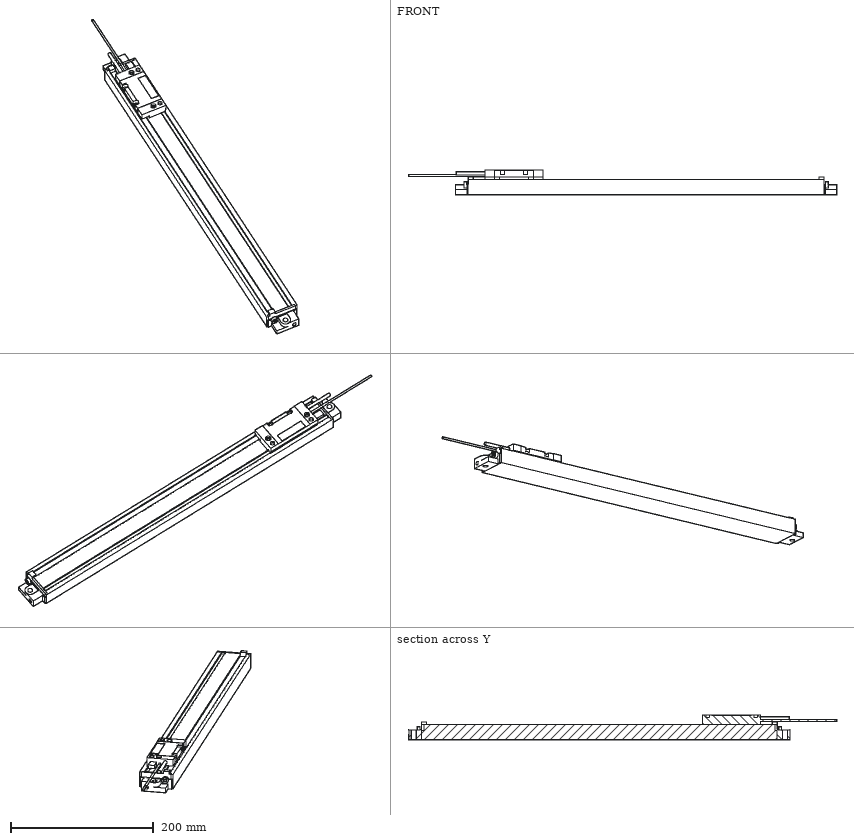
import cadquery as cq

total_length = 600.0
foot_start = 65.5
rail_start = 83.5
rail_mid = (foot_start + total_length) / 2
rail_end = 2 * rail_mid - rail_start

rail_width = 48.0
rail_height = 21.5
groove_depth = 2.5
front_groove = (-18.5, -10.0)
back_groove = (12.0, 17.5)

flange_thickness = 2.0
flange_width = 47.0
flange_chamfer = 1.0
foot_width = 35.0
foot_low_height = 7.0
foot_high_height = 14.5
boss_radius = 7.0
boss_height = 14.0
mount_hole_diameter = 6.5
tab_length = 3.0
tab_width = 42.0
tab_depth = 8.5
bump_length = 7.0
bump_top = 25.0
screw_diameter = 9.0
screw_length = 4.0
screw_y = -14.0
screw_z = 14.0
socket_diameter = 4.0
socket_depth = 2.0
port_diameter = 5.5
port_depth = 6.0
port_y = 10.0
port_z = 6.0

carriage_start = 107.0
carriage_end = 188.5
carriage_mid = (carriage_start + carriage_end) / 2
carriage_width = 38.0
carriage_top = 35.0
carriage_bottom = 25.0
end_block_length = 13.0
middle_relief = 0.3
slide_y = (-7.0, 18.5)
slide_relief = 2.0
window_length = 41.0
window_depth = 0.5
label_y = (6.5, 18.0)
ledge_width = 6.0
notch_width = 6.0
notch_depth = 6.5
notch_spacing = 32.5
notch_y = -15.0
bolt_hole_inset = 7.0
plain_hole_y = 13.0
plain_hole_diameter = 6.0
plain_hole_depth = 3.5
bolt_hole_y = 3.0
bolt_hole_diameter = 3.5
bolt_head_diameter = 7.0
bolt_head_depth = 3.5

cable_diameter = 3.0
cable_y = 0.0
cable_z = 27.0
sleeve_start = 66.5
sleeve_diameter = 5.0
sleeve_y = -8.0
sleeve_z = 30.0
terminal_length = 14.5
terminal_y = (5.0, 14.0)
terminal_z = (24.5, 29.5)


def block(x_range, y_range, z_range):
    """Box between two corners given as ranges along X, Y and Z."""
    size = [high - low for low, high in (x_range, y_range, z_range)]
    corner = (x_range[0], y_range[0], z_range[0])
    return cq.Workplane("XY").box(*size, centered=False).translate(corner)


def centred(width):
    """Range of the given width about zero."""
    return (-width / 2, width / 2)


def rod(x_start, x_end, y, z, diameter):
    """Round bar parallel to X."""
    plane = cq.Workplane("YZ", origin=(x_start, y, z))
    return plane.circle(diameter / 2).extrude(x_end - x_start)


def mirrored_to_far_end(body):
    return body.mirror("YZ", (rail_mid, 0, 0))


def cap_tab():
    """Tab of the near cap that lies in a recess at the top of the rail."""
    return block(
        (rail_start, rail_start + tab_length),
        centred(tab_width),
        (rail_height - tab_depth, rail_height),
    )


def make_rail():
    rail = block((rail_start, rail_end), centred(rail_width), (0, rail_height))
    for groove in (front_groove, back_groove):
        rail = rail.cut(
            block((rail_start, rail_end), groove, (rail_height - groove_depth, rail_height))
        )
    return rail.cut(cap_tab()).cut(mirrored_to_far_end(cap_tab()))


def make_foot():
    """Foot with a low front half, a high back half and a boss around the mounting hole."""
    hole_x = foot_start + boss_radius
    x_range = (foot_start, rail_start)
    plate = block(x_range, centred(foot_width), (0, foot_low_height))
    back_half = block(x_range, (0, foot_width / 2), (0, foot_high_height))
    boss = block((hole_x, rail_start), centred(2 * boss_radius), (0, boss_height))
    hole_axis = cq.Workplane("XY").center(hole_x, 0)
    boss = boss.union(hole_axis.circle(boss_radius).extrude(boss_height))
    above_boss = boss.translate((0, 0, boss_height))
    hole = hole_axis.circle(mount_hole_diameter / 2).extrude(foot_high_height)
    return plate.union(back_half).union(boss).cut(above_boss).cut(hole)


def make_cap():
    """Cap at the cable end of the rail."""
    flange_start = rail_start - flange_thickness
    flange = block((flange_start, rail_start), centred(flange_width), (0, foot_high_height))
    flange = flange.edges("<X and |Z").chamfer(flange_chamfer)
    bump = block(
        (rail_start, rail_start + bump_length),
        front_groove,
        (rail_height - groove_depth, bump_top),
    )
    screw_start = flange_start - screw_length
    screw = rod(screw_start, flange_start, screw_y, screw_z, screw_diameter)
    socket = rod(screw_start, screw_start + socket_depth, screw_y, screw_z, socket_diameter)
    port = rod(foot_start, foot_start + port_depth, port_y, port_z, port_diameter)
    cap = flange.union(make_foot()).union(cap_tab()).union(bump)
    return cap.union(screw).cut(socket).cut(port)


def make_carriage_body():
    x_range = (carriage_start, carriage_end)
    body = block(x_range, centred(carriage_width), (carriage_bottom, carriage_top))
    slide = block(x_range, slide_y, (rail_height, carriage_bottom))
    return body.union(slide).cut(middle_clearance()).cut(slide_gaps())


def middle_clearance():
    """Thin slice off the top and front that sets the middle back from the end blocks."""
    x_range = (carriage_start + end_block_length, carriage_end - end_block_length)
    front_face = -carriage_width / 2
    top_slice = block(x_range, centred(carriage_width), (carriage_top - middle_relief, carriage_top))
    front_slice = block(x_range, (front_face, front_face + middle_relief), (carriage_bottom, carriage_top))
    return top_slice.union(front_slice)


def slide_gaps():
    """Reliefs in the front of the slide, between its ends and its middle pad."""
    near_gap = block(
        (carriage_start + end_block_length, carriage_mid - window_length / 2),
        (slide_y[0], slide_y[0] + slide_relief),
        (rail_height, carriage_bottom),
    )
    return near_gap.union(near_gap.mirror("YZ", (carriage_mid, 0, 0)))


def carriage_recesses():
    """Shallow label recess at the back of the top and shallow ledge at its front."""
    x_range = (carriage_mid - window_length / 2, carriage_mid + window_length / 2)
    front_face = -carriage_width / 2
    z_range = (carriage_top - middle_relief - window_depth, carriage_top)
    label = block(x_range, label_y, z_range)
    ledge = block(x_range, (front_face, front_face + ledge_width), z_range)
    return label.union(ledge)


def clamp_notches():
    """Two round-ended notches open to the front and the top."""
    notches = cq.Workplane("XY")
    z_range = (carriage_top - notch_depth, carriage_top)
    for side in (-1, 1):
        x = carriage_mid + side * notch_spacing / 2
        opening = block(
            (x - notch_width / 2, x + notch_width / 2), (-carriage_width / 2, notch_y), z_range
        )
        floor = cq.Workplane("XY", origin=(x, notch_y, z_range[0]))
        round_end = floor.circle(notch_width / 2).extrude(notch_depth)
        notches = notches.add(opening.union(round_end))
    return notches.combine()


def cut_end_block_holes(carriage):
    """Blind hole and counterbored through hole in each end block."""
    top = cq.Workplane("XY", origin=(0, 0, carriage_top))
    through_depth = carriage_top - rail_height
    for x in (carriage_start + bolt_hole_inset, carriage_end - bolt_hole_inset):
        plain_axis = top.center(x, plain_hole_y)
        carriage = carriage.cut(plain_axis.circle(plain_hole_diameter / 2).extrude(-plain_hole_depth))
        bolt_axis = top.center(x, bolt_hole_y)
        carriage = carriage.cut(bolt_axis.circle(bolt_hole_diameter / 2).extrude(-through_depth))
        carriage = carriage.cut(bolt_axis.circle(bolt_head_diameter / 2).extrude(-bolt_head_depth))
    return carriage


def make_carriage():
    carriage = make_carriage_body().cut(carriage_recesses()).cut(clamp_notches())
    carriage = cut_end_block_holes(carriage)
    cable = rod(0, carriage_start, cable_y, cable_z, cable_diameter)
    sleeve = rod(sleeve_start, carriage_start, sleeve_y, sleeve_z, sleeve_diameter)
    terminal = block((carriage_start - terminal_length, carriage_start), terminal_y, terminal_z)
    return carriage.union(cable).union(sleeve).union(terminal)


rail = make_rail()
near_cap = make_cap()
far_cap = mirrored_to_far_end(near_cap)
carriage = make_carriage()

result = cq.Compound.makeCompound([rail.val(), near_cap.val(), far_cap.val(), carriage.val()])